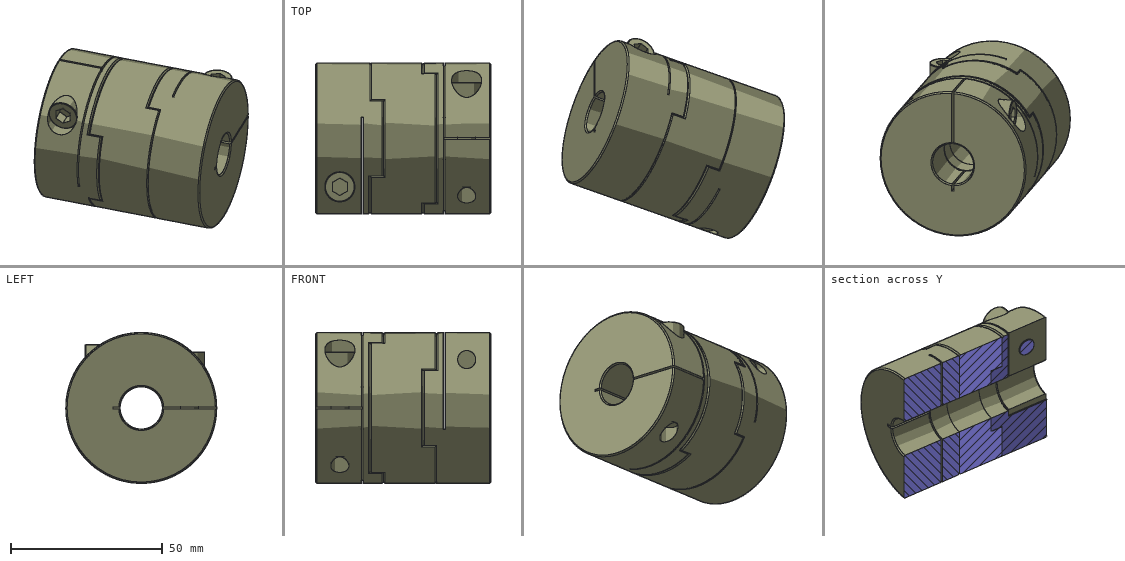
import cadquery as cq
import math


length = 58.0
outer_diameter = 50.0
outer_radius = outer_diameter / 2
bore_diameter = 14.0
bore_radius = bore_diameter / 2
edge_chamfer = 0.45
cut_margin = 0.6

disc_length = 22.05
tongue_width = 24.95
tongue_height = 4.5
disc_face_x = disc_length / 2
groove_floor_x = disc_face_x - tongue_height

end_x = length / 2
cross_slit_x = 13.6
cross_slit_width = 0.5
cross_slit_depth = outer_radius + bore_radius
clamp_slit_width = 0.7
relief_end_y = 9.3

screw_x = 21.0
screw_offset = 16.0
head_diameter = 10.0
head_height = 6.0
head_top = 18.55
head_chamfer = 0.25
shank_diameter = 6.0
shank_length = 28.65
socket_across_flats = 5.0
socket_depth = 4.0
head_seat = head_top - head_height

tolerance = 0.005


def x_cylinder(diameter, from_x, to_x):
    """Cylinder on the coupling axis from from_x to to_x."""
    return cq.Workplane("YZ").workplane(offset=from_x).circle(diameter / 2).extrude(to_x - from_x)


def z_cylinder(diameter, start_z, end_z):
    """Cylinder parallel to Z on the axis of the left-hand clamp screw."""
    return (
        cq.Workplane("XY", origin=(-screw_x, -screw_offset, start_z))
        .circle(diameter / 2)
        .extrude(end_z - start_z)
    )


def box_between(x_range, y_range, z_range):
    """Box given by its lower and upper limits along each axis."""
    ranges = (x_range, y_range, z_range)
    sizes = [high - low for low, high in ranges]
    return cq.Workplane("XY", origin=[low for low, high in ranges]).box(*sizes, centered=False)


def tongue_bar(side):
    """Diametral bar along Z that fills the joint on the given X side (-1 or +1)."""
    x_range = sorted((side * groove_floor_x, side * disc_face_x))
    half_width = tongue_width / 2
    return box_between(x_range, (-half_width, half_width), (-outer_radius, outer_radius))


def to_right_end(left_body):
    """Mirror a left-hand body to +X and turn it a quarter turn about X."""
    return left_body.mirror("YZ").rotate((0, 0, 0), (1, 0, 0), -90)


def is_on_rim(edge):
    """True for an edge whose midpoint lies on the outer cylinder."""
    middle = edge.positionAt(0.5)
    return abs(math.hypot(middle.y, middle.z) - outer_radius) < tolerance


def is_at_x(edge, x):
    """True for an edge lying wholly in the plane at x."""
    box = edge.BoundingBox()
    return abs(box.xmin - x) < tolerance and abs(box.xmax - x) < tolerance


def is_groove_side(edge):
    """True for the straight rim edges where a groove wall meets the outer cylinder."""
    middle = edge.positionAt(0.5)
    on_wall = min(abs(abs(middle.y) - tongue_width / 2), abs(abs(middle.z) - tongue_width / 2))
    return edge.geomType() == "LINE" and on_wall < tolerance


def make_hub():
    hub = x_cylinder(outer_diameter, -end_x, -disc_face_x)
    tongue = tongue_bar(-1).intersect(x_cylinder(outer_diameter, -disc_face_x, -groove_floor_x))
    hub = hub.union(tongue)
    hub = chamfer_hub_rim(hub)
    hub = hub.cut(x_cylinder(bore_diameter, -end_x, -groove_floor_x))
    bore_mouth = hub.faces("<X").edges("%CIRCLE").edges(cq.selectors.RadiusNthSelector(0))
    hub = bore_mouth.chamfer(edge_chamfer)
    return cut_screw_hole(cut_slits(hub))


def chamfer_hub_rim(hub):
    """Break the outer end, the tongue ends and the shoulder on the slit side only."""
    def is_chamfered(edge):
        on_shoulder = is_at_x(edge, -disc_face_x) and edge.positionAt(0.5).y < 0
        return is_on_rim(edge) and (
            is_at_x(edge, -end_x) or is_at_x(edge, -groove_floor_x) or on_shoulder
        )

    return hub.edges().filter(is_chamfered).chamfer(edge_chamfer)


def cut_slits(hub):
    """Cross slit that frees the clamp, plus the radial slit and the relief opposite it."""
    reach = outer_radius + cut_margin
    half_cross = cross_slit_width / 2
    half_clamp = clamp_slit_width / 2
    cross_slit = box_between(
        (-cross_slit_x - half_cross, -cross_slit_x + half_cross),
        (-reach, cross_slit_depth - outer_radius),
        (-reach, reach),
    )
    clamp_slit = box_between(
        (-end_x - cut_margin, -cross_slit_x),
        (-reach, relief_end_y),
        (-half_clamp, half_clamp),
    )
    return hub.cut(cross_slit).cut(clamp_slit)


def cut_screw_hole(hub):
    """Through hole for the shank and a counterbore for the head."""
    shank_hole = z_cylinder(shank_diameter, -outer_radius, outer_radius)
    counterbore = z_cylinder(head_diameter, head_seat, outer_radius)
    return hub.cut(shank_hole).cut(counterbore)


def make_disc():
    disc = x_cylinder(outer_diameter, -disc_face_x, disc_face_x)
    left_groove = tongue_bar(-1)
    disc = disc.cut(left_groove).cut(to_right_end(left_groove))
    joint_planes = (-disc_face_x, -groove_floor_x, groove_floor_x, disc_face_x)

    def is_chamfered(edge):
        on_joint = any(is_at_x(edge, x) for x in joint_planes)
        return is_on_rim(edge) and (on_joint or is_groove_side(edge))

    disc = disc.edges().filter(is_chamfered).chamfer(edge_chamfer)
    return disc.cut(x_cylinder(bore_diameter, -disc_face_x, disc_face_x))


def make_screw():
    head = z_cylinder(head_diameter, head_seat, head_top).faces(">Z").edges().chamfer(head_chamfer)
    shank = z_cylinder(shank_diameter, head_seat - shank_length, head_seat)
    socket_across_corners = socket_across_flats / math.cos(math.pi / 6)
    socket = (
        cq.Workplane("XY", origin=(-screw_x, -screw_offset, head_top))
        .transformed(rotate=(0, 0, 90))
        .polygon(6, socket_across_corners)
        .extrude(-socket_depth)
    )
    return head.union(shank).cut(socket)


left_hub = make_hub()
left_screw = make_screw()
disc = make_disc()

bodies = [disc.solids().val()]
for left_body in (left_hub, left_screw):
    bodies.append(left_body.solids().val())
    bodies.append(to_right_end(left_body).solids().val())

result = cq.Compound.makeCompound(bodies)